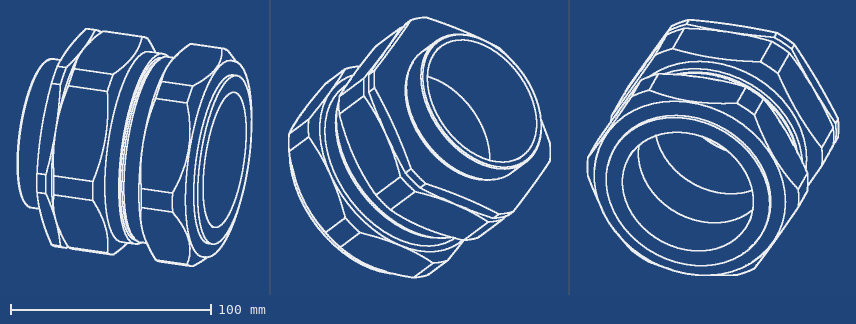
import cadquery as cq
import math


ACROSS_FLATS = 100.0
CORNER_DIAMETER = 110.0
FLAT_RADIUS = ACROSS_FLATS / 2
CORNER_RADIUS = CORNER_DIAMETER / 2
CORNER_RISE = CORNER_RADIUS - FLAT_RADIUS
SIDES = 6

BORE_RADIUS = 34.1
TOTAL_LENGTH = 96.9

THREAD_RADIUS = 37.6
THREAD_TIP_CHAMFER = 0.7
THREAD_END = 13.0
THREAD_RUNOUT = 1.0
ENTRY_HEX_START = 15.1
ENTRY_HEX_END = 22.4
ENTRY_CHAMFER_ANGLE = 15.0
SLEEVE_END = 39.0

BODY_CHAMFER_ANGLE = 30.0
COLLAR_START = 49.8
COLLAR_RADIUS = 48.0
COLLAR_END = 57.2
GROOVE_BOTTOM = 57.9
GROOVE_DEPTH = 1.5
NECK_RADIUS = 46.8
REAR_HEX_START = 68.4
REAR_CHAMFER_START = 87.7
REAR_RIM_START = 92.8
REAR_RIM_RADIUS = 49.6
REAR_RIM_FILLET = 0.7
REAR_FACE = 94.8

SEAL_RADIUS = 42.5
SEAL_START = REAR_HEX_START


def revolved(profile):
    """Solid of revolution about X from (x, radius) points; the axis closes the profile."""
    closed = [(profile[0][0], 0), *profile, (profile[-1][0], 0)]
    return cq.Workplane("XY").polyline(closed).close().revolve(360, (0, 0, 0), (1, 0, 0))


def cylinder(start, end, radius):
    """Round bar along X between two positions."""
    return cq.Workplane("YZ", origin=(start, 0, 0)).circle(radius).extrude(end - start)


def hexagon(envelope, start, end):
    """Turned envelope cut to six flats, two of them facing up and down."""
    corner_circle = ACROSS_FLATS / math.cos(math.pi / SIDES)
    prism = cq.Workplane("YZ", origin=(start, 0, 0)).polygon(SIDES, corner_circle).extrude(end - start)
    return prism.intersect(revolved(envelope))


def chamfer_length(angle):
    """Axial length of a hexagon corner chamfer tilted by angle in degrees from the end face."""
    return CORNER_RISE * math.tan(math.radians(angle))


def make_entry():
    """Threaded spigot, thin hexagon and inner sleeve with a through bore."""
    chamfer = chamfer_length(ENTRY_CHAMFER_ANGLE)
    runout_radius = THREAD_RADIUS - THREAD_RUNOUT
    thread = revolved([
        (0, THREAD_RADIUS - THREAD_TIP_CHAMFER),
        (THREAD_TIP_CHAMFER, THREAD_RADIUS),
        (THREAD_END, THREAD_RADIUS),
        (THREAD_END + THREAD_RUNOUT, runout_radius),
        (ENTRY_HEX_START, runout_radius),
    ])
    flange = hexagon(
        [
            (ENTRY_HEX_START, FLAT_RADIUS),
            (ENTRY_HEX_START + chamfer, CORNER_RADIUS),
            (ENTRY_HEX_END - chamfer, CORNER_RADIUS),
            (ENTRY_HEX_END, FLAT_RADIUS),
        ],
        ENTRY_HEX_START,
        ENTRY_HEX_END,
    )
    sleeve = cylinder(ENTRY_HEX_END, SLEEVE_END, THREAD_RADIUS)
    return thread.union(flange).union(sleeve).cut(cylinder(0, SLEEVE_END, BORE_RADIUS))


def make_gland_body():
    """Outer body, bored out for the entry sleeve and for the seal ring."""
    chamfer = chamfer_length(BODY_CHAMFER_ANGLE)
    rear_slope = (CORNER_RADIUS - COLLAR_RADIUS) * math.tan(math.radians(BODY_CHAMFER_ANGLE))
    front_hex = hexagon(
        [
            (ENTRY_HEX_END, FLAT_RADIUS),
            (ENTRY_HEX_END + chamfer, CORNER_RADIUS),
            (COLLAR_START - rear_slope, CORNER_RADIUS),
            (COLLAR_START, COLLAR_RADIUS),
        ],
        ENTRY_HEX_END,
        COLLAR_START,
    )
    groove_radius = NECK_RADIUS - GROOVE_DEPTH
    middle = revolved([
        (COLLAR_START, COLLAR_RADIUS),
        (COLLAR_END, COLLAR_RADIUS),
        (COLLAR_END, groove_radius + GROOVE_BOTTOM - COLLAR_END),
        (GROOVE_BOTTOM, groove_radius),
        (GROOVE_BOTTOM + GROOVE_DEPTH, NECK_RADIUS),
        (REAR_HEX_START, NECK_RADIUS),
    ])
    rear_hex = hexagon(
        [
            (REAR_HEX_START, FLAT_RADIUS),
            (REAR_HEX_START + chamfer, CORNER_RADIUS),
            (REAR_CHAMFER_START, CORNER_RADIUS),
            (REAR_RIM_START, REAR_RIM_RADIUS),
            (REAR_FACE, REAR_RIM_RADIUS),
        ],
        REAR_HEX_START,
        REAR_FACE,
    )
    rear_hex = rear_hex.faces(">X").edges().fillet(REAR_RIM_FILLET)
    body = front_hex.union(middle).union(rear_hex)
    body = body.cut(cylinder(ENTRY_HEX_END, SLEEVE_END, THREAD_RADIUS))
    body = body.cut(cylinder(SLEEVE_END, SEAL_START, BORE_RADIUS))
    return body.cut(cylinder(SEAL_START, REAR_FACE, SEAL_RADIUS))


def make_seal():
    """Plain ring filling the rear counterbore and standing proud of it."""
    ring = cylinder(SEAL_START, TOTAL_LENGTH, SEAL_RADIUS)
    return ring.cut(cylinder(SEAL_START, TOTAL_LENGTH, BORE_RADIUS))


entry = make_entry()
gland_body = make_gland_body()
seal = make_seal()

result = cq.Compound.makeCompound([entry.val(), gland_body.val(), seal.val()])